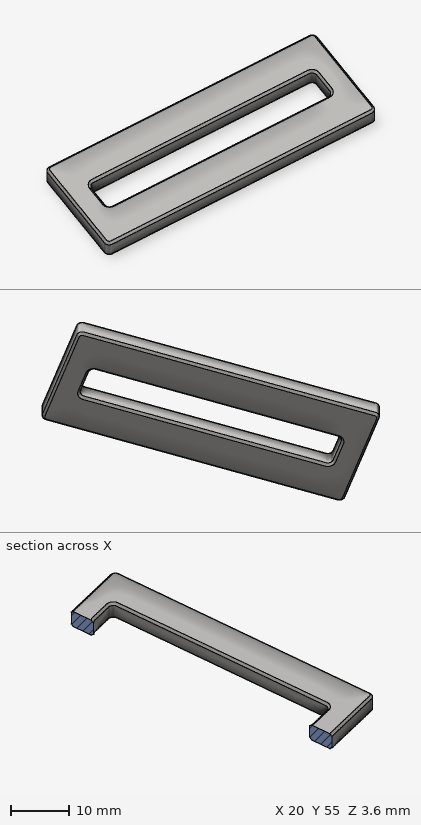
import cadquery as cq

width = 20.0
length = 55.0
thickness = 3.6
corner_radius = 1.0

slot_width = 6.1
slot_length = 46.0
slot_corner_radius = 1.0

edge_chamfer = 0.45


def rounded_block(size_x, size_y, radius):
    """Centred block of plate thickness with rounded vertical edges."""
    return cq.Workplane("XY").box(size_x, size_y, thickness).edges("|Z").fillet(radius)


plate = rounded_block(width, length, corner_radius)
slot = rounded_block(slot_width, slot_length, slot_corner_radius)

result = plate.cut(slot).faces("<Z or >Z").edges().chamfer(edge_chamfer)